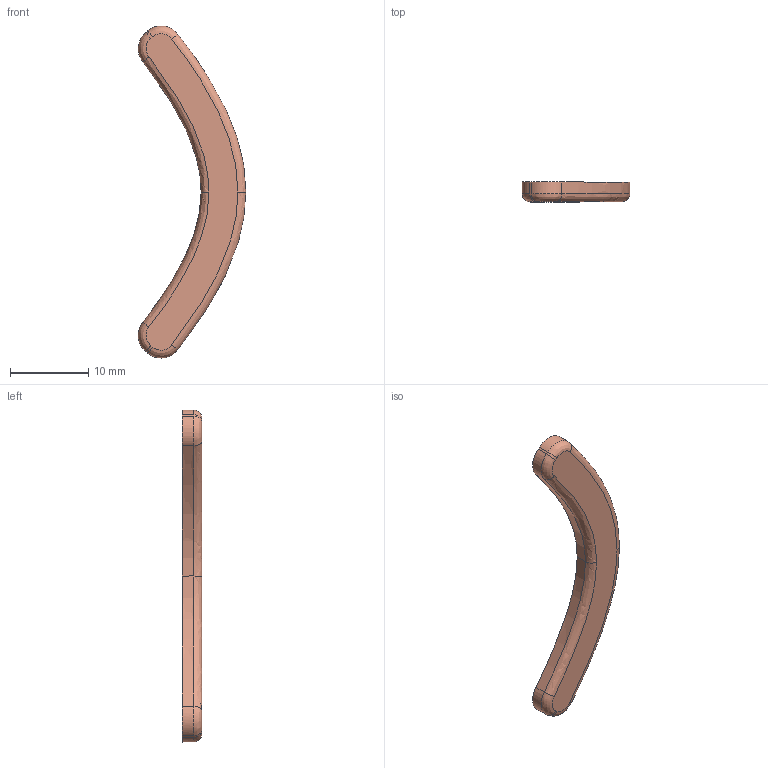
import cadquery as cq
import math

bar_width = 5.7
bar_thickness = 2.5
front_edge_radius = 1.0
corner_radius = 2.7

apex_x = 10.89
curve_points = 20
apex_radius = 18.41
hyperbola_axis = 28.7
end_z = 20.51

half_width = bar_width / 2
bend = hyperbola_axis / apex_radius


def edge_point(z, offset):
    """Point at a sideways offset (positive toward +X) from the centreline at height z."""
    reach = math.sqrt(hyperbola_axis**2 + bend * z**2)
    x = apex_x + hyperbola_axis - reach
    slope = -bend * z / reach
    length = math.hypot(1, slope)
    return (x + offset / length, z - offset * slope / length)


def side_curve(profile, z_start, z_end, offset):
    """Add one half of a long side to the profile."""
    return profile.parametricCurve(
        lambda t: edge_point(z_start + t * (z_end - z_start), offset),
        N=curve_points,
        makeWire=False,
    )


def make_blank():
    """Extrude the bar outline with square ends from the back (Y = thickness) to Y = 0."""
    profile = cq.Workplane("XZ", origin=(0, bar_thickness, 0))
    profile = side_curve(profile, -end_z, 0, half_width)
    profile = side_curve(profile, 0, end_z, half_width)
    profile = profile.moveTo(*edge_point(end_z, half_width)).lineTo(*edge_point(end_z, -half_width))
    profile = side_curve(profile, end_z, 0, -half_width)
    profile = side_curve(profile, 0, -end_z, -half_width)
    profile = profile.moveTo(*edge_point(-end_z, -half_width)).lineTo(*edge_point(-end_z, half_width))
    return profile.wire().extrude(bar_thickness)


def round_ends(bar):
    """Round the two corners at each end."""
    corners = bar.edges("|Y").filter(lambda edge: abs(edge.Center().z) > end_z / 2)
    return corners.fillet(corner_radius)


def round_front(bar):
    """Round the rim of the front (-Y) face."""
    return bar.faces("<Y").edges().fillet(front_edge_radius)


result = round_front(round_ends(make_blank()))